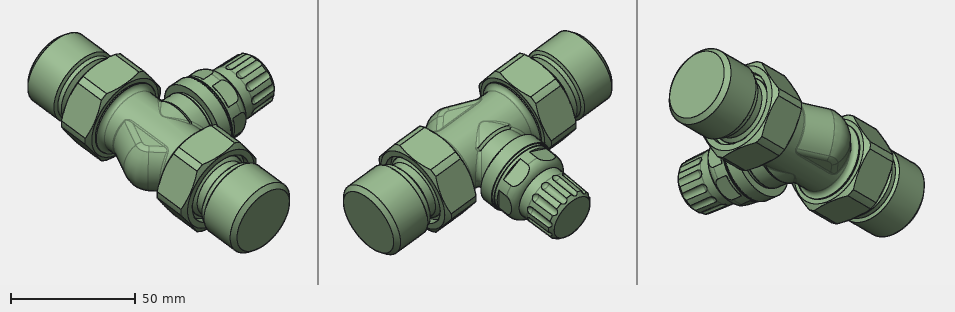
import cadquery as cq
import math

half_length = 61.0
end_chamfer = 2.0
thread_radius = 16.6
thread_inner_x = 43.8
thread_step_x = 43.1
shoulder_radius = 15.1
shoulder_inner_x = 41.0
neck_radius = 12.8
neck_outer_x = 39.5
flare_outer_x = 35.9
flare_inner_x = 34.2
flare_radius = 14.3

nut_outer_x = 36.2
nut_inner_x = 19.6
nut_across_flats = 38.0
nut_corner_radius = 21.0
nut_face_radius = 18.5
nut_chamfer_length = 1.3
nut_recess_radius = 15.9
nut_recess_depth = 3.0

body_radius = 14.3
collar_fillet = 2.3
collar_width = 0.6
collar_radius = body_radius + collar_fillet

branch_radius = 14.2
branch_cone_start_y = 9.2
branch_cone_end_y = 10.4
branch_neck_radius = 13.3
groove_start_y = 17.5
groove_radius = 12.8
ring_start_y = 18.8
ring_end_y = 24.9
ring_radius = 16.3
flange_end_y = 26.0
flange_radius = 15.9
bonnet_radius = 15.5
bonnet_end_y = 36.7
bonnet_fillet = 4.9
branch_weld_fillet = 1.7

flat_count = 6
flat_distance = 14.5
flat_start_y = 27.5

cap_radius = 12.0
cap_taper_start_y = 41.2
cap_shoulder_radius = 11.6
cap_top_radius = 10.0
cap_top_y = 54.9
cap_chamfer_length = 1.7
flute_count = 12
flute_radius = 2.1
flute_floor_radius = 10.7
flute_end_y = 42.8

bulge_tip_x = 5.0
bulge_tip_y = -20.9
bulge_tip_radius = 11.0
bulge_section_radius = 14.4
bulge_half_height = 12.0
bulge_edge_fillet = 4.0
bulge_weld_fillet = 1.5
bulge_inlet_angle = 25.0
bulge_inlet_length = 18.3
bulge_outlet_angle = 43.0
bulge_outlet_length = 12.2


def both_sides(solid):
    """Join a solid on the -X side with its mirror image."""
    return solid.union(solid.mirror("YZ"))


def make_tailpiece():
    """Threaded end with its shoulder and a neck that flares inside the nut."""
    profile = (
        cq.Workplane("XY")
        .moveTo(-half_length, 0)
        .lineTo(-half_length, thread_radius - end_chamfer)
        .lineTo(-half_length + end_chamfer, thread_radius)
        .lineTo(-thread_inner_x, thread_radius)
        .lineTo(-thread_step_x, shoulder_radius)
        .lineTo(-shoulder_inner_x, shoulder_radius)
        .lineTo(-neck_outer_x, neck_radius)
        .lineTo(-flare_outer_x, neck_radius)
        .lineTo(-flare_inner_x, flare_radius)
        .lineTo(-nut_inner_x, flare_radius)
        .lineTo(-nut_inner_x, 0)
        .close()
    )
    return profile.revolve(360, (0, 0, 0), (1, 0, 0))


def make_nut():
    """Hexagon nut with turned corners, chamfered faces and a recess around the neck."""
    nut_length = nut_outer_x - nut_inner_x
    corner_diameter = nut_across_flats / math.cos(math.radians(30))
    hexagon = (
        cq.Workplane("YZ", origin=(-nut_outer_x, 0, 0))
        .polygon(6, corner_diameter)
        .extrude(nut_length)
    )
    turned = (
        cq.Workplane("XY")
        .moveTo(-nut_outer_x, 0)
        .lineTo(-nut_outer_x, nut_face_radius)
        .lineTo(-nut_outer_x + nut_chamfer_length, nut_corner_radius)
        .lineTo(-nut_inner_x - nut_chamfer_length, nut_corner_radius)
        .lineTo(-nut_inner_x, nut_face_radius)
        .lineTo(-nut_inner_x, 0)
        .close()
        .revolve(360, (0, 0, 0), (1, 0, 0))
    )
    recess = (
        cq.Workplane("YZ", origin=(-nut_outer_x, 0, 0))
        .circle(nut_recess_radius)
        .extrude(nut_recess_depth)
    )
    return hexagon.intersect(turned).cut(recess)


def make_collar():
    """Flare that widens the body towards the nut with a concave round."""
    flare_x = -nut_inner_x + collar_width
    arc_offset = collar_fillet * (1 - math.sqrt(0.5))
    profile = (
        cq.Workplane("XY")
        .moveTo(-nut_inner_x, 0)
        .lineTo(-nut_inner_x, collar_radius)
        .lineTo(flare_x, collar_radius)
        .threePointArc(
            (flare_x + arc_offset, body_radius + arc_offset),
            (flare_x + collar_fillet, body_radius),
        )
        .lineTo(flare_x + collar_fillet, 0)
        .close()
    )
    return profile.revolve(360, (0, 0, 0), (1, 0, 0))


def make_branch():
    """Neck that leaves the body towards the bonnet."""
    profile = (
        cq.Workplane("XY")
        .lineTo(branch_radius, 0)
        .lineTo(branch_radius, branch_cone_start_y)
        .lineTo(branch_neck_radius, branch_cone_end_y)
        .lineTo(branch_neck_radius, groove_start_y)
        .lineTo(0, groove_start_y)
        .close()
    )
    return profile.revolve(360, (0, 0, 0), (0, 1, 0))


def bulge_arm(direction_angle, outward_angle, length):
    """Round bar running from the bulge tip back into the body."""
    centre_y = bulge_tip_y + bulge_tip_radius
    axis_offset = bulge_tip_radius - bulge_section_radius
    origin = (
        bulge_tip_x + axis_offset * math.cos(math.radians(outward_angle)),
        centre_y + axis_offset * math.sin(math.radians(outward_angle)),
        0,
    )
    direction = (
        math.cos(math.radians(direction_angle)),
        math.sin(math.radians(direction_angle)),
        0,
    )
    plane = cq.Plane(origin=origin, xDir=(0, 0, 1), normal=direction)
    return cq.Workplane(plane).circle(bulge_section_radius).extrude(length)


def make_bulge():
    """Two round arms joined by a barrel-shaped tip, cut flat above and below."""
    centre_y = bulge_tip_y + bulge_tip_radius
    axis_offset = bulge_section_radius - bulge_tip_radius
    tip_half_height = math.sqrt(bulge_section_radius**2 - axis_offset**2)
    tip = (
        cq.Workplane("XZ", origin=(bulge_tip_x, centre_y, 0))
        .moveTo(0, -tip_half_height)
        .threePointArc((bulge_tip_radius, 0), (0, tip_half_height))
        .close()
        .revolve(360, (0, 0, 0), (0, 1, 0))
    )
    inlet = bulge_arm(180 - bulge_inlet_angle, 270 - bulge_inlet_angle, bulge_inlet_length)
    outlet = bulge_arm(bulge_outlet_angle, bulge_outlet_angle - 90, bulge_outlet_length)
    envelope = cq.Workplane("XY").box(
        2 * nut_inner_x, -bulge_tip_y, 2 * bulge_half_height
    ).translate((0, bulge_tip_y / 2, 0))
    rim_zone = cq.selectors.BoxSelector(
        (-nut_inner_x, bulge_tip_y, -body_radius),
        (nut_inner_x, -body_radius / 2, body_radius),
    )
    bulge = tip.union(inlet).union(outlet).intersect(envelope)
    return bulge.faces("<Z or >Z").edges(rim_zone).fillet(bulge_edge_fillet)


def make_body():
    """Barrel between the nuts, blended into the branch and the bulge."""
    barrel = (
        cq.Workplane("YZ", origin=(-nut_inner_x, 0, 0))
        .circle(body_radius)
        .extrude(2 * nut_inner_x)
    )
    blend_half_width = nut_inner_x - collar_width - collar_fillet
    branch_zone = cq.selectors.BoxSelector(
        (-blend_half_width, 0, -body_radius),
        (blend_half_width, body_radius, body_radius),
    )
    bulge_zone = cq.selectors.BoxSelector(
        (-blend_half_width, -body_radius, -body_radius),
        (blend_half_width, -body_radius / 2, body_radius),
    )
    with_branch = (
        barrel.union(make_branch())
        .edges(branch_zone)
        .edges("not (%CIRCLE or %LINE)")
        .fillet(branch_weld_fillet)
    )
    bulge_weld = (
        barrel.union(make_bulge())
        .edges(bulge_zone)
        .edges("not (%CIRCLE or %LINE)")
        .fillet(bulge_weld_fillet)
    )
    return with_branch.union(bulge_weld)


def make_bonnet():
    """Turned bonnet with its clamping ring, flange and rounded shoulder."""
    arc_offset = bonnet_fillet * (1 - math.sqrt(0.5))
    profile = (
        cq.Workplane("XY")
        .moveTo(0, groove_start_y)
        .lineTo(groove_radius, groove_start_y)
        .lineTo(groove_radius, ring_start_y)
        .lineTo(ring_radius, ring_start_y)
        .lineTo(ring_radius, ring_end_y)
        .lineTo(flange_radius, ring_end_y)
        .lineTo(flange_radius, flange_end_y)
        .lineTo(bonnet_radius, flange_end_y)
        .lineTo(bonnet_radius, bonnet_end_y - bonnet_fillet)
        .threePointArc(
            (bonnet_radius - arc_offset, bonnet_end_y - arc_offset),
            (bonnet_radius - bonnet_fillet, bonnet_end_y),
        )
        .lineTo(0, bonnet_end_y)
        .close()
    )
    bonnet = profile.revolve(360, (0, 0, 0), (0, 1, 0))
    cut_depth = bonnet_radius
    flat_length = bonnet_end_y - flat_start_y
    cutter = cq.Workplane("XY").box(
        cut_depth, flat_length, 2 * bonnet_radius, centered=(False, False, True)
    ).translate((flat_distance, flat_start_y, 0))
    for index in range(flat_count):
        bonnet = bonnet.cut(cutter.rotate((0, 0, 0), (0, 1, 0), index * 360 / flat_count))
    return bonnet


def make_cap():
    """Tapered cap with rounded flutes that run out through its top chamfer."""
    profile = (
        cq.Workplane("XY")
        .moveTo(0, flange_end_y)
        .lineTo(cap_radius, flange_end_y)
        .lineTo(cap_radius, cap_taper_start_y)
        .lineTo(cap_shoulder_radius, cap_top_y - cap_chamfer_length)
        .lineTo(cap_top_radius, cap_top_y)
        .lineTo(0, cap_top_y)
        .close()
    )
    cap = profile.revolve(360, (0, 0, 0), (0, 1, 0))
    flute_axis = flute_floor_radius + flute_radius
    pitch = 360 / flute_count
    flute = (
        cq.Workplane("XZ", origin=(flute_axis, flute_end_y, 0))
        .circle(flute_radius)
        .extrude(-cap_top_y)
    )
    flute_tip = cq.Workplane("XY").sphere(flute_radius).translate((flute_axis, flute_end_y, 0))
    flute = flute.union(flute_tip)
    for index in range(flute_count):
        cap = cap.cut(flute.rotate((0, 0, 0), (0, 1, 0), (index + 0.5) * pitch))
    return cap


result = (
    make_body()
    .union(both_sides(make_collar()))
    .union(both_sides(make_tailpiece()))
    .union(both_sides(make_nut()))
    .union(make_bonnet())
    .union(make_cap())
)